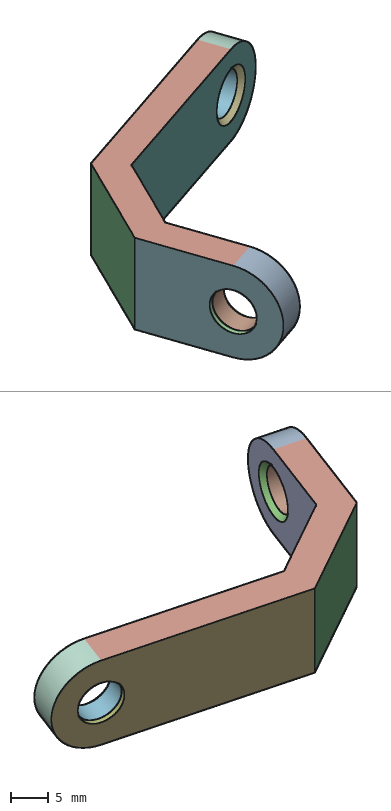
import cadquery as cq
import math

thickness = 5.0
width = 15.0
base_length = 18.25
long_arm = 39.55
short_arm = 22.15
bend_angle = 45
bore_diameter = 6.9
mouth_diameter = 7.0
hole_end_depth = 0.8

end_radius = width / 2
slope_cos = math.cos(math.radians(bend_angle))
slope_sin = math.sin(math.radians(bend_angle))
bend_inset = thickness * math.tan(math.radians(bend_angle / 2))


def make_base():
    """Plate along X whose ends are mitred into the arms."""
    return (
        cq.Workplane("XY", origin=(0, 0, -width / 2))
        .polyline([
            (0, 0),
            (base_length, 0),
            (base_length - bend_inset, thickness),
            (bend_inset, thickness),
        ])
        .close()
        .extrude(width)
    )


def make_hole(outer_face, hole_center):
    """Through hole revolved about its axis, from the outer face to the inner face."""
    bore_radius = bore_diameter / 2
    mouth_radius = mouth_diameter / 2
    chamfer_start = thickness - hole_end_depth
    axis_start = outer_face.toWorldCoords((hole_center, 0, 0))
    section = cq.Plane(origin=axis_start, xDir=outer_face.xDir, normal=outer_face.yDir * -1)
    return (
        cq.Workplane(section)
        .polyline([
            (0, 0),
            (mouth_radius, 0),
            (mouth_radius, hole_end_depth),
            (bore_radius, hole_end_depth),
            (bore_radius, chamfer_start),
            (bore_radius + hole_end_depth, thickness),
            (0, thickness),
        ])
        .close()
        .revolve(360, (0, 0), (0, 1))
    )


def make_arm(bend_x, side, length):
    """Mitred arm rising to +Y towards side (-1 or +1), with a round end and hole."""
    along = cq.Vector(side * slope_cos, slope_sin, 0)
    inward = cq.Vector(-side * slope_sin, slope_cos, 0)
    bend = cq.Vector(bend_x, 0, 0)

    def point(distance, depth):
        return (bend + along * distance + inward * depth).toTuple()[:2]

    arm = (
        cq.Workplane("XY", origin=(0, 0, -width / 2))
        .polyline([
            point(0, 0),
            point(length, 0),
            point(length, thickness),
            point(bend_inset, thickness),
        ])
        .close()
        .extrude(width)
    )
    outer_face = cq.Plane(origin=bend.toTuple(), xDir=along.toTuple(), normal=inward.toTuple())
    hole_center = length - end_radius
    rounded_strip = (
        cq.Workplane(outer_face)
        .center(hole_center, 0)
        .circle(end_radius)
        .extrude(thickness)
        .union(
            cq.Workplane(outer_face)
            .center(hole_center / 2, 0)
            .rect(hole_center, width)
            .extrude(thickness)
        )
    )
    return arm.intersect(rounded_strip).cut(make_hole(outer_face, hole_center))


left_arm = make_arm(0, -1, long_arm)
right_arm = make_arm(base_length, 1, short_arm)
result = make_base().union(left_arm).union(right_arm)